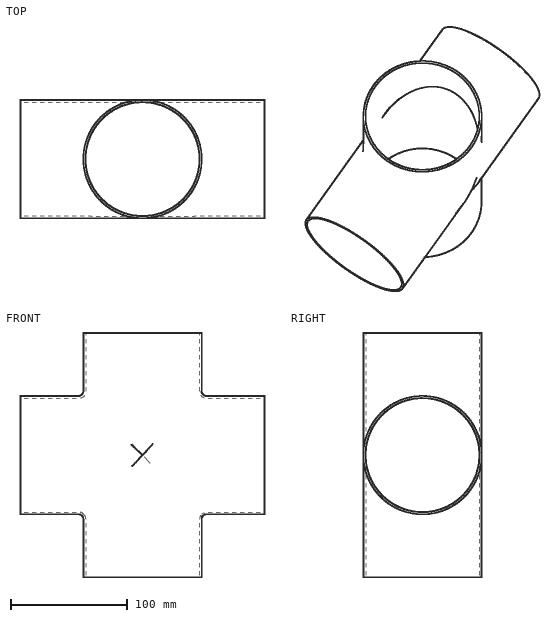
import cadquery as cq
import math

LENGTH = 209.5
OUTER_RADIUS = 101.7 / 2
WALL = 2.0
CROTCH_RADIUS = 4.0

REACH = LENGTH / 2
ROOT_HALF = math.sqrt(0.5)

PATH_HALF_WIDTH = OUTER_RADIUS + CROTCH_RADIUS
PATH_HALF_LENGTH = PATH_HALF_WIDTH / ROOT_HALF


def wedge(start, end):
    """Wedge along Y with its edge on the Y axis, between two angles in the XZ plane."""
    span = 2 * LENGTH
    points = [(span * math.cos(a), span * math.sin(a)) for a in (start, end)]
    profile = cq.Workplane("XZ").polyline([(0, 0)] + points).close()
    return profile.extrude(LENGTH, both=True)


def crotch_filler(ball_radius, start, end):
    """Rounded web between two arms, hollowed by a ball rolling along both."""
    bisector = cq.Plane(origin=(0, 0, 0), xDir=(ROOT_HALF, 0, ROOT_HALF), normal=(ROOT_HALF, 0, -ROOT_HALF))
    core = cq.Workplane(bisector).ellipse(PATH_HALF_LENGTH, PATH_HALF_WIDTH).extrude(LENGTH, both=True)
    path = cq.Workplane(bisector).ellipseArc(
        PATH_HALF_LENGTH, PATH_HALF_WIDTH, -90, 90, startAtCurrent=False)
    ball_section = cq.Plane(
        origin=path.val().startPoint().toTuple(), xDir=(0, 1, 0), normal=(ROOT_HALF, 0, ROOT_HALF))
    ball_track = cq.Workplane(ball_section).circle(ball_radius).sweep(path)
    return core.intersect(wedge(start, end)).cut(ball_track)


def rounded_cross(radius):
    """Two equal cylinders crossing at right angles, with all four crotches rounded."""
    ball_radius = PATH_HALF_WIDTH - radius
    low = math.atan2(radius, PATH_HALF_WIDTH)
    high = math.pi / 2 - low
    run = cq.Workplane("YZ").circle(radius).extrude(REACH, both=True)
    branch = cq.Workplane("XY").circle(radius).extrude(REACH, both=True)
    filler = crotch_filler(ball_radius, low, high)
    body = run.intersect(wedge(-low, low))
    body = body.union(branch.intersect(wedge(high, math.pi - high)))
    body = body.union(run.intersect(wedge(math.pi - low, math.pi + low)))
    body = body.union(branch.intersect(wedge(math.pi + high, 2 * math.pi - high)))
    for quarter in range(4):
        body = body.union(filler.rotate((0, 0, 0), (0, 1, 0), 90 * quarter))
    return body


result = rounded_cross(OUTER_RADIUS).cut(rounded_cross(OUTER_RADIUS - WALL))